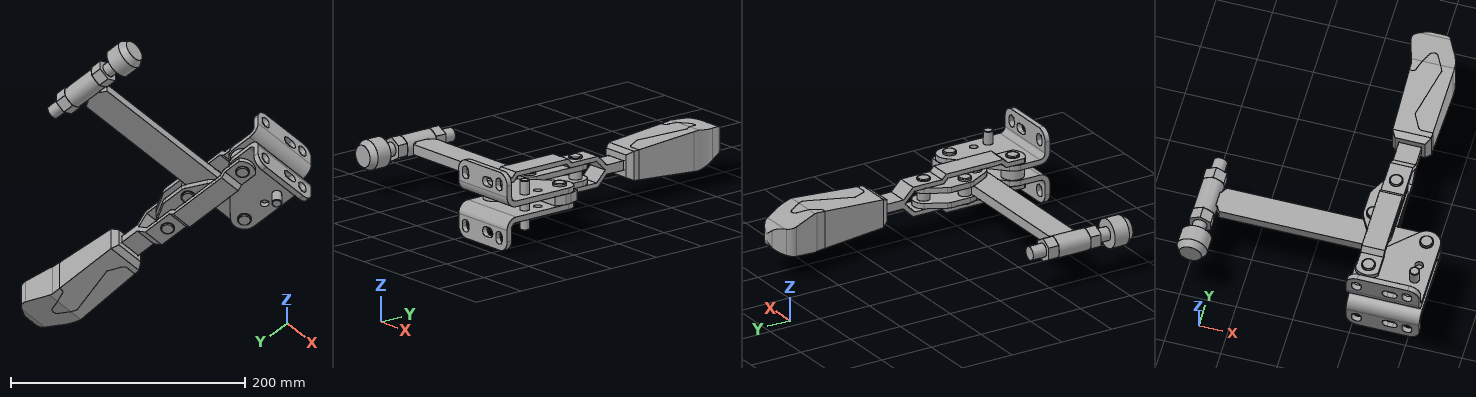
import cadquery as cq
import math


arm_thickness = 9.3
web_thickness = 5.0
strap_thickness = 4.2
web_inner_z = arm_thickness / 2
web_outer_z = web_inner_z + web_thickness
strap_outer_z = web_outer_z + strap_thickness

pin_radius = 5.5
head_radius = 6.0
head_chamfer = 0.8
base_head_height = 2.5
lever_head_height = 1.7
arm_pivot = (41.0, 68.3)
lever_pivot = (0, 30.3)
link_top_pivot = (0, 120.0)
link_arm_pivot = (0, 68.3)
link_side_rivet = (-10.7, 85.1)

base_left = -11.8
base_right = 53.0
base_width = 70.0
base_half_width = base_width / 2
flange_corner_radius = 10.0
bend_inner_radius = 5.0
bend_outer_radius = bend_inner_radius + web_thickness
web_corner_y = 35.0
bush_radius = 10.0
spare_hole = (41.0, 44.0)
spare_hole_radius = 3.7
stop_pin = (41.0, 29.5)
stop_pin_radius = 4.2
stop_pin_half_length = 22.2
stop_pin_chamfer = 0.5
slot_width = 8.5
upright_slot_length = 11.0
upright_slot_z = 24.0
upright_slot_xs = (-2.5, 42.2)
long_slot_length = 13.2
long_slot_z = 22.5
long_slot_x = 27.0

arm_bottom = 55.5
arm_top = 80.6
arm_end_x = 50.0
arm_end_taper = (3.0, 9.5)
arm_nose_taper = (3.0, 5.3)
spindle_x = -152.3
sleeve_radius = 9.8
sleeve_bottom = 52.3
sleeve_top = 84.3

stud_radius = 6.2
stud_top = 108.2
nut_across_flats = 18.8
nut_height = 10.5
cap_radius = 13.5
cap_face_radius = 9.8
cap_face_y = 10.0
cap_shoulder_y = 16.0
cap_top_y = 30.3

lever_half_width = 10.0
lever_bottom = 20.0
lever_side_bottom = 24.5
fork_y = 146.5
upper_step_y = 107.5
lower_step_y = 45.5
step_height = 4.2
bend_angle = 45
tang_depth = 42.2

link_end_radius = 10.0
link_left = -19.5
link_left_length = 23.0
link_corner_fillet = 7.5

grip_bottom = 165.0
grip_top = 281.0
grip_chamfer_y = 170.8
tip_center = (-5.0, 268.5)
tip_radius = grip_top - tip_center[1]
heel_center = (-19.5, 266.0)
heel_radius = 7.3
grip_tip_fillet = 9.5
tip_start_angle = 27
top_slope_angle = 120
heel_end_angle = 195
parting_left_y = 230.7
parting_right_y = 176.0
grip_side_half_profile = [
    (grip_bottom, 10.0),
    (grip_chamfer_y, 13.2),
    (241.7, 18.3),
    (grip_top, 10.7),
]
cutter_reach = 33.7


def polar(center, radius, angle):
    """Point on a circle, with the angle in degrees."""
    turn = math.radians(angle)
    return (center[0] + radius * math.cos(turn), center[1] + radius * math.sin(turn))


def tangent_point(point, center, radius, side):
    """Where a line from a point touches a circle; side is +1 or -1."""
    dx = point[0] - center[0]
    dy = point[1] - center[1]
    swing = math.degrees(math.acos(radius / math.hypot(dx, dy)))
    return polar(center, radius, math.degrees(math.atan2(dy, dx)) + side * swing)


def angle_of(point, center):
    """Direction in degrees from a centre to a point."""
    return math.degrees(math.atan2(point[1] - center[1], point[0] - center[0]))


def disc(center, radius, z_low, z_high):
    """Cylinder along Z."""
    return cq.Workplane("XY", origin=(*center, z_low)).circle(radius).extrude(z_high - z_low)


def spindle_disc(radius, y_low, y_high):
    """Cylinder along Y on the spindle axis."""
    return cq.Workplane("XZ", origin=(spindle_x, y_low, 0)).circle(radius).extrude(y_low - y_high)


def both_sides(part):
    """A part on the +Z side together with its mirror image."""
    return part.union(part.mirror("XY"))


def riveted_pin(center, seat_z, head_height):
    """Pin across Z = 0 with a chamfered head seated at +seat_z and at -seat_z."""
    head = disc(center, head_radius, seat_z, seat_z + head_height).faces(">Z").chamfer(head_chamfer)
    return disc(center, pin_radius, -seat_z, seat_z).union(both_sides(head))


def make_base():
    section = (
        cq.Workplane("YZ", origin=(base_left, 0, 0))
        .moveTo(bend_outer_radius, web_inner_z)
        .radiusArc((0, web_inner_z + bend_outer_radius), bend_outer_radius)
        .lineTo(0, base_half_width)
        .lineTo(web_thickness, base_half_width)
        .lineTo(web_thickness, web_outer_z + bend_inner_radius)
        .radiusArc((bend_outer_radius, web_outer_z), -bend_inner_radius)
        .lineTo(arm_pivot[1] + base_right, web_outer_z)
        .lineTo(arm_pivot[1] + base_right, web_inner_z)
        .close()
        .extrude(base_right - base_left)
    )
    web_round = base_right - arm_pivot[0]
    corner = (base_left, web_corner_y)
    slope_end = tangent_point(corner, arm_pivot, web_round, -1)
    crown = polar(arm_pivot, web_round, angle_of(slope_end, arm_pivot) / 2)
    outline = (
        cq.Workplane("XY")
        .moveTo(base_left, 0)
        .lineTo(*corner)
        .lineTo(*slope_end)
        .threePointArc(crown, (base_right, arm_pivot[1]))
        .lineTo(base_right, 0)
        .close()
        .extrude(base_half_width)
        .edges("|Z and <X")
        .edges(">Y")
        .fillet(web_round)
    )
    half = section.intersect(outline)
    half = half.edges("|Y and >Z").fillet(flange_corner_radius)

    flange = cq.Workplane("XZ")
    upright_slots = (
        flange.pushPoints([(x, upright_slot_z) for x in upright_slot_xs])
        .slot2D(upright_slot_length, slot_width, 90)
        .extrude(-web_thickness)
    )
    long_slot = (
        flange.center(long_slot_x, long_slot_z)
        .slot2D(long_slot_length, slot_width)
        .extrude(-web_thickness)
    )
    half = half.cut(upright_slots).cut(long_slot)
    half = half.cut(disc(spare_hole, spare_hole_radius, 0, web_outer_z))

    stop = disc(stop_pin, stop_pin_radius, -stop_pin_half_length, stop_pin_half_length)
    stop = stop.faces("<Z or >Z").chamfer(stop_pin_chamfer)
    return (
        both_sides(half)
        .union(disc(lever_pivot, bush_radius, -web_inner_z, web_inner_z))
        .union(riveted_pin(lever_pivot, strap_outer_z, lever_head_height))
        .union(riveted_pin(arm_pivot, web_outer_z, base_head_height))
        .union(stop)
    )


def make_arm():
    nose_x = spindle_x + sleeve_radius
    end_dx, end_dy = arm_end_taper
    nose_dx, nose_dy = arm_nose_taper
    bar = (
        cq.Workplane("XY", origin=(0, 0, -arm_thickness / 2))
        .polyline([
            (spindle_x, arm_bottom + nose_dy),
            (nose_x, arm_bottom + nose_dy),
            (nose_x + nose_dx, arm_bottom),
            (arm_end_x, arm_bottom),
            (arm_end_x + end_dx, arm_bottom + end_dy),
            (arm_end_x + end_dx, arm_top - end_dy),
            (arm_end_x, arm_top),
            (nose_x + nose_dx, arm_top),
            (nose_x, arm_top - nose_dy),
            (spindle_x, arm_top - nose_dy),
        ])
        .close()
        .extrude(arm_thickness)
    )
    arm = bar.union(spindle_disc(sleeve_radius, sleeve_bottom, sleeve_top))
    arm = arm.cut(spindle_disc(stud_radius, sleeve_bottom, sleeve_top))
    for center in (arm_pivot, link_arm_pivot, link_side_rivet):
        arm = arm.cut(disc(center, pin_radius, -web_inner_z, web_inner_z))
    return arm


def make_spindle():
    spindle = spindle_disc(stud_radius, cap_top_y, stud_top)
    corner_diameter = nut_across_flats / math.cos(math.pi / 6)
    for nut_bottom in (sleeve_bottom - nut_height, sleeve_top):
        nut = (
            cq.Workplane("XZ", origin=(spindle_x, nut_bottom, 0))
            .transformed(rotate=(0, 0, 90))
            .polygon(6, corner_diameter)
            .extrude(-nut_height)
        )
        spindle = spindle.union(nut)
    cap = (
        cq.Workplane("XY")
        .polyline([
            (0, cap_face_y),
            (cap_face_radius, cap_face_y),
            (cap_radius, cap_shoulder_y),
            (cap_radius, cap_top_y),
            (0, cap_top_y),
        ])
        .close()
        .revolve(360, (0, 0), (0, 1))
        .translate((spindle_x, 0, 0))
    )
    return spindle.union(cap)


def make_lever():
    shift = strap_thickness * math.tan(math.radians(bend_angle / 2))
    tang_top = grip_bottom + tang_depth
    raised_inner_z = web_outer_z + step_height
    raised_outer_z = strap_outer_z + step_height
    profile = [
        (tang_top, strap_thickness),
        (fork_y, strap_thickness),
        (fork_y - web_outer_z, strap_outer_z),
        (upper_step_y, strap_outer_z),
        (upper_step_y - step_height, raised_outer_z),
        (lower_step_y, raised_outer_z),
        (lower_step_y - step_height, strap_outer_z),
        (0, strap_outer_z),
        (0, web_outer_z),
        (lower_step_y - step_height + shift, web_outer_z),
        (lower_step_y + shift, raised_inner_z),
        (upper_step_y - step_height - shift, raised_inner_z),
        (upper_step_y - shift, web_outer_z),
        (fork_y - web_outer_z - shift, web_outer_z),
        (fork_y - shift, 0),
        (tang_top, 0),
    ]
    strap = (
        cq.Workplane("YZ", origin=(-lever_half_width, 0, 0))
        .polyline(profile)
        .close()
        .extrude(2 * lever_half_width)
    )
    outline = (
        cq.Workplane("XY")
        .moveTo(-lever_half_width, tang_top)
        .lineTo(-lever_half_width, lever_side_bottom)
        .threePointArc((0, lever_bottom), (lever_half_width, lever_side_bottom))
        .lineTo(lever_half_width, tang_top)
        .close()
        .extrude(raised_outer_z)
    )
    lever = both_sides(strap.intersect(outline))
    for center in (lever_pivot, link_top_pivot):
        lever = lever.cut(disc(center, pin_radius, -strap_outer_z, strap_outer_z))
    return lever


def make_links():
    middle_y = (link_top_pivot[1] + link_arm_pivot[1]) / 2
    left_top = (link_left, middle_y + link_left_length / 2)
    left_bottom = (link_left, middle_y - link_left_length / 2)
    top_touch = tangent_point(left_top, link_top_pivot, link_end_radius, -1)
    bottom_touch = tangent_point(left_bottom, link_arm_pivot, link_end_radius, 1)
    plate = (
        cq.Workplane("XY", origin=(0, 0, web_inner_z))
        .moveTo(*left_bottom)
        .lineTo(*left_top)
        .lineTo(*top_touch)
        .threePointArc(
            polar(link_top_pivot, link_end_radius, 90),
            polar(link_top_pivot, link_end_radius, 0),
        )
        .lineTo(*polar(link_arm_pivot, link_end_radius, 0))
        .threePointArc(polar(link_arm_pivot, link_end_radius, -90), bottom_touch)
        .close()
        .extrude(web_thickness)
        .edges("|Z and <X")
        .fillet(link_corner_fillet)
    )
    return (
        both_sides(plate)
        .union(riveted_pin(link_top_pivot, strap_outer_z, lever_head_height))
        .union(riveted_pin(link_side_rivet, web_outer_z, base_head_height))
        .union(riveted_pin(link_arm_pivot, web_outer_z, base_head_height))
    )


def make_whole_grip():
    outline = (
        cq.Workplane("XY", origin=(0, 0, -cutter_reach))
        .moveTo(-13.5, grip_bottom)
        .lineTo(13.2, grip_bottom)
        .lineTo(17.1, grip_chamfer_y)
        .lineTo(18.3, 236.3)
        .threePointArc((17.0, 250.5), (11.8, 262.2))
        .lineTo(*polar(tip_center, tip_radius, tip_start_angle))
        .threePointArc(polar(tip_center, tip_radius, 90), polar(tip_center, tip_radius, top_slope_angle))
        .lineTo(*polar(heel_center, heel_radius, top_slope_angle))
        .threePointArc(
            polar(heel_center, heel_radius, (top_slope_angle + heel_end_angle) / 2),
            polar(heel_center, heel_radius, heel_end_angle),
        )
        .lineTo(-19.0, 238.8)
        .lineTo(-17.1, grip_chamfer_y)
        .close()
        .extrude(2 * cutter_reach)
    )
    other_half = [(y, -z) for y, z in reversed(grip_side_half_profile)]
    profile = (
        cq.Workplane("YZ", origin=(-cutter_reach, 0, 0))
        .polyline(grip_side_half_profile + other_half)
        .close()
        .extrude(2 * cutter_reach)
        .edges(">Y and |X")
        .fillet(grip_tip_fillet)
    )
    return outline.intersect(profile)


def make_shell_region():
    """Everything above and to the right of the parting line of the grip, through its full depth."""
    region_top = grip_top + cutter_reach
    return (
        cq.Workplane("XY", origin=(0, 0, -cutter_reach))
        .moveTo(-cutter_reach, parting_left_y)
        .lineTo(-16.0, parting_left_y)
        .threePointArc((-13.8, 231.8), (-13.0, 234.4))
        .lineTo(-6.5, 251.5)
        .threePointArc((-2.5, 254.0), (0.8, 252.0))
        .lineTo(8.5, 236.5)
        .lineTo(-2.5, 190.2)
        .lineTo(3.0, 179.5)
        .threePointArc((4.8, 177.0), (7.0, parting_right_y))
        .lineTo(cutter_reach, parting_right_y)
        .lineTo(cutter_reach, region_top)
        .lineTo(-cutter_reach, region_top)
        .close()
        .extrude(2 * cutter_reach)
    )


base = make_base()
arm = make_arm()
spindle = make_spindle()
lever = make_lever()
links = make_links()
whole_grip = make_whole_grip().cut(lever)
shell_region = make_shell_region()
grip_core = whole_grip.cut(shell_region)
grip_shell = whole_grip.intersect(shell_region)

result = cq.Compound.makeCompound([
    base.val(),
    arm.val(),
    spindle.val(),
    lever.val(),
    links.val(),
    grip_core.val(),
    grip_shell.val(),
])